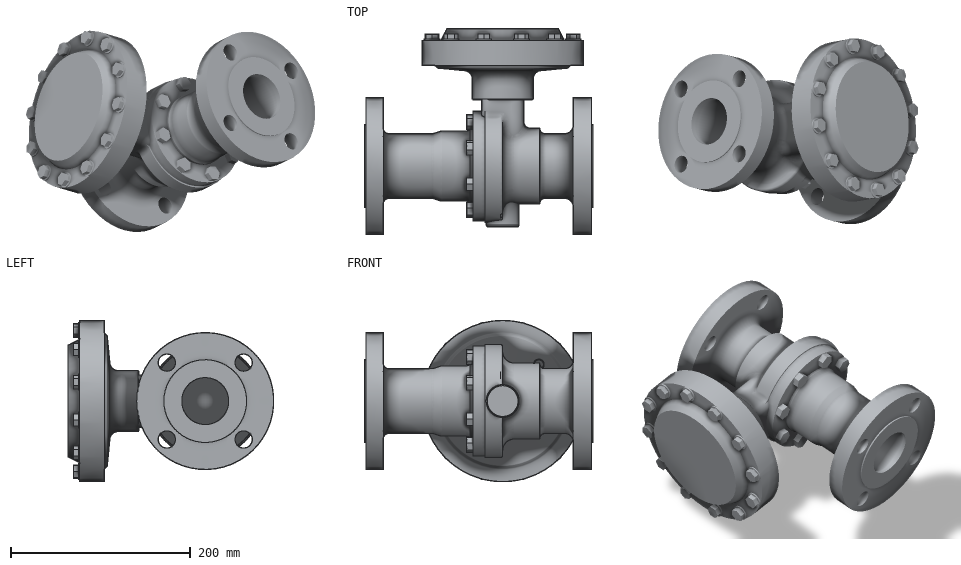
import cadquery as cq
import math


LEFT_END = -153.6
FACE_TO_FACE = 254.0
RIGHT_END = LEFT_END + FACE_TO_FACE
PIPE_RADIUS = 36.1
BORE_RADIUS = 26.1
SEAT_OFFSET = 30.0

FLANGE_RADIUS = 76.2
LEFT_FLANGE_THICKNESS = 19.4
RIGHT_FLANGE_THICKNESS = 20.4
RAISED_FACE_RADIUS = 46.0
RAISED_FACE_HEIGHT = 1.6
FLANGE_HOLE_COUNT = 4
FLANGE_HOLE_CIRCLE_RADIUS = 60.3
FLANGE_HOLE_RADIUS = 9.5
LEFT_FLANGE_FILLET = 6.0
RIGHT_FLANGE_FILLET = 9.4

CAP_NECK_RADIUS = 39.1
TAPER_START = -77.6
TAPER_END = -68.0
TAPER_FILLET = 4.0
CAP_FLARE_LENGTH = 4.3
CAP_HUB_RADIUS = 40.6
CAP_HUB_START = -36.4
CAP_FLANGE_START = -33.1
CAP_FLANGE_RADIUS = 61.1

BODY_START = -19.4
BODY_FLANGE_END = 0.0
BODY_FLANGE_RADIUS = 62.8
BODY_FLANGE_EDGE_FILLET = 2.2
BODY_RADIUS = 42.3
BODY_FILLET = 12.8
BODY_END = 41.5
BODY_END_CHAMFER = 0.8

CAP_BOLT_COUNT = 8
CAP_BOLT_CIRCLE_RADIUS = 52.8
CAP_BOLT_HEX_RADIUS = 8.3
CAP_BOLT_HEAD_HEIGHT = 7.0

TRUNNION_RADIUS = 18.3
TRUNNION_END = -67.7
TRUNNION_CHAMFER_RADIAL = 1.2
TRUNNION_CHAMFER_AXIAL = 2.0

POST_HALF_WIDTH = 23.5
POST_HALF_HEIGHT = 29.2
POST_LEFT_CORNER_RADIUS = 7.8
POST_RIGHT_CORNER_RADIUS = 13.0
POST_FILLET = 6.9

COLLAR_START = 73.6
COLLAR_RADIUS = 34.0
COLLAR_CHAMFER = 1.2
COLLAR_FILLET = 9.0
COLLAR_FILLET_START = 97.0
DISH_RIM_Y = 108.8
DISH_RIM_RADIUS = 72.4
DISH_RIM_FILLET = 1.2
DISH_FOOT_RADIUS = 75.6
DISH_FOOT_FILLET = 2.0
DISC_RADIUS = 89.66
DISC_START = 112.0
DISC_END = 139.6
COVER_BASE_RADIUS = 68.6
COVER_TOP_RADIUS = 62.0
COVER_TOP = 152.74

COVER_BOLT_COUNT = 12
COVER_BOLT_CIRCLE_RADIUS = 81.2
COVER_BOLT_HEX_RADIUS = 7.65
COVER_BOLT_HEAD_TOP = 146.6
WASHER_RADIUS = 8.8
WASHER_THICKNESS = 1.5

VENT_X = 40.2
VENT_Z = 40.6
VENT_RADIUS = 5.2
VENT_BOTTOM = 119.0
VENT_CHAMFER = 0.8

LEFT_FLANGE_BACK = LEFT_END + RAISED_FACE_HEIGHT + LEFT_FLANGE_THICKNESS
RIGHT_FLANGE_BACK = RIGHT_END - RAISED_FACE_HEIGHT - RIGHT_FLANGE_THICKNESS
TOLERANCE = 0.05
DIAGONAL = math.sqrt(0.5)


def fillet_mid(center_x, center_r, toward_x, radius):
    """Middle of a quarter arc that curves toward the pipe axis, on the side toward_x (+1 or -1)."""
    return (center_x + toward_x * radius * DIAGONAL, center_r - radius * DIAGONAL)


def spin_about_x(profile):
    return profile.close().revolve(360, (0, 0), (1, 0))


def circle_of(radius):
    """A test that picks the circular edges of one radius."""
    return lambda edge: edge.geomType() == "CIRCLE" and abs(edge.radius() - radius) < TOLERANCE


def left_end_and_cap():
    fillet_x = LEFT_FLANGE_BACK + LEFT_FLANGE_FILLET
    fillet_r = PIPE_RADIUS + LEFT_FLANGE_FILLET
    flare_x = CAP_HUB_START - CAP_FLARE_LENGTH
    face = LEFT_END + RAISED_FACE_HEIGHT
    profile = (
        cq.Workplane("XY")
        .moveTo(LEFT_END, 0)
        .lineTo(LEFT_END, RAISED_FACE_RADIUS)
        .lineTo(face, RAISED_FACE_RADIUS)
        .lineTo(face, FLANGE_RADIUS)
        .lineTo(LEFT_FLANGE_BACK, FLANGE_RADIUS)
        .lineTo(LEFT_FLANGE_BACK, fillet_r)
        .threePointArc(fillet_mid(fillet_x, fillet_r, -1, LEFT_FLANGE_FILLET), (fillet_x, PIPE_RADIUS))
        .lineTo(TAPER_START, PIPE_RADIUS)
        .lineTo(TAPER_END, CAP_NECK_RADIUS)
        .lineTo(flare_x, CAP_NECK_RADIUS)
        .tangentArcPoint((CAP_HUB_START, CAP_HUB_RADIUS), relative=False)
        .lineTo(CAP_FLANGE_START, CAP_HUB_RADIUS)
        .lineTo(CAP_FLANGE_START, CAP_FLANGE_RADIUS)
        .lineTo(BODY_START, CAP_FLANGE_RADIUS)
        .lineTo(BODY_START, 0)
    )
    taper_rim = cq.selectors.BoxSelector(
        (TAPER_START - TOLERANCE, -FLANGE_RADIUS, -FLANGE_RADIUS),
        (TAPER_END + TOLERANCE, FLANGE_RADIUS, FLANGE_RADIUS),
    )
    return spin_about_x(profile).edges("%CIRCLE").edges(taper_rim).fillet(TAPER_FILLET)


def body_and_right_end():
    root_x = BODY_FLANGE_END + BODY_FILLET
    root_r = BODY_RADIUS + BODY_FILLET
    shoulder_r = BODY_RADIUS - BODY_END_CHAMFER
    shoulder = shoulder_r - PIPE_RADIUS
    shoulder_x = BODY_END + shoulder
    fillet_x = RIGHT_FLANGE_BACK - RIGHT_FLANGE_FILLET
    fillet_r = PIPE_RADIUS + RIGHT_FLANGE_FILLET
    face = RIGHT_END - RAISED_FACE_HEIGHT
    profile = (
        cq.Workplane("XY")
        .moveTo(BODY_START, 0)
        .lineTo(BODY_START, BODY_FLANGE_RADIUS)
        .lineTo(BODY_FLANGE_END, BODY_FLANGE_RADIUS)
        .lineTo(BODY_FLANGE_END, root_r)
        .threePointArc(fillet_mid(root_x, root_r, -1, BODY_FILLET), (root_x, BODY_RADIUS))
        .lineTo(BODY_END - BODY_END_CHAMFER, BODY_RADIUS)
        .lineTo(BODY_END, shoulder_r)
        .threePointArc(fillet_mid(shoulder_x, shoulder_r, -1, shoulder), (shoulder_x, PIPE_RADIUS))
        .lineTo(fillet_x, PIPE_RADIUS)
        .threePointArc(fillet_mid(fillet_x, fillet_r, 1, RIGHT_FLANGE_FILLET), (RIGHT_FLANGE_BACK, fillet_r))
        .lineTo(RIGHT_FLANGE_BACK, FLANGE_RADIUS)
        .lineTo(face, FLANGE_RADIUS)
        .lineTo(face, RAISED_FACE_RADIUS)
        .lineTo(RIGHT_END, RAISED_FACE_RADIUS)
        .lineTo(RIGHT_END, 0)
    )
    return spin_about_x(profile)


def stem_post():
    post = (
        cq.Workplane("XZ")
        .rect(2 * POST_HALF_WIDTH, 2 * POST_HALF_HEIGHT)
        .extrude(-(COLLAR_START + COLLAR_CHAMFER))
    )
    post = post.edges("|Y and <X").fillet(POST_LEFT_CORNER_RADIUS)
    return post.edges("|Y and >X").fillet(POST_RIGHT_CORNER_RADIUS)


def body_with_post():
    """Body and stem post joined by a fillet, with the rest of the body flange rim rounded off."""
    def on_post_joint(edge):
        box = edge.BoundingBox()
        beside_post = max(-box.zmin, box.zmax) < POST_HALF_HEIGHT + TOLERANCE
        past_cap = box.xmax > BODY_START + TOLERANCE
        below_collar = 0 < box.ymin and box.ymax < BODY_FLANGE_RADIUS
        return beside_post and past_cap and below_collar and box.xmax < POST_HALF_WIDTH + TOLERANCE

    def on_flange_rim(edge):
        return circle_of(BODY_FLANGE_RADIUS)(edge) and edge.Center().x > BODY_START + TOLERANCE

    right_of_cap = (
        cq.Workplane("YZ")
        .workplane(offset=BODY_START)
        .circle(2 * FLANGE_RADIUS)
        .extrude(2 * POST_HALF_WIDTH)
    )
    post = stem_post()
    body = body_and_right_end().edges().filter(on_flange_rim).fillet(BODY_FLANGE_EDGE_FILLET)
    body = body.union(post.intersect(right_of_cap)).edges().filter(on_post_joint).fillet(POST_FILLET)
    return body.union(post)


def trunnion():
    chamfer_start = TRUNNION_END + TRUNNION_CHAMFER_AXIAL
    return (
        cq.Workplane("XY")
        .moveTo(0, 0)
        .lineTo(TRUNNION_RADIUS, 0)
        .lineTo(TRUNNION_RADIUS, chamfer_start)
        .lineTo(TRUNNION_RADIUS - TRUNNION_CHAMFER_RADIAL, TRUNNION_END)
        .lineTo(0, TRUNNION_END)
        .close()
        .revolve(360, (0, 0), (0, 1))
    )


def actuator():
    """Collar, dished plate, disc and conical cover, as one shape of revolution about Y."""
    fillet_end_y = COLLAR_FILLET_START + COLLAR_FILLET
    fillet_end_r = COLLAR_RADIUS + COLLAR_FILLET
    fillet_mid_y = COLLAR_FILLET_START + COLLAR_FILLET * DIAGONAL
    fillet_mid_r = fillet_end_r - COLLAR_FILLET * DIAGONAL
    shape = (
        cq.Workplane("YZ")
        .moveTo(COLLAR_START, 0)
        .lineTo(COLLAR_START, COLLAR_RADIUS - COLLAR_CHAMFER)
        .lineTo(COLLAR_START + COLLAR_CHAMFER, COLLAR_RADIUS)
        .lineTo(COLLAR_FILLET_START, COLLAR_RADIUS)
        .threePointArc((fillet_mid_y, fillet_mid_r), (fillet_end_y, fillet_end_r))
        .lineTo(DISH_RIM_Y, DISH_RIM_RADIUS)
        .lineTo(DISC_START, DISH_FOOT_RADIUS)
        .lineTo(DISC_START, DISC_RADIUS)
        .lineTo(DISC_END, DISC_RADIUS)
        .lineTo(DISC_END, COVER_BASE_RADIUS)
        .lineTo(COVER_TOP, COVER_TOP_RADIUS)
        .lineTo(COVER_TOP, 0)
        .close()
        .revolve(360, (0, 0), (1, 0))
    )
    shape = shape.edges().filter(circle_of(DISH_RIM_RADIUS)).fillet(DISH_RIM_FILLET)
    return shape.edges().filter(circle_of(DISH_FOOT_RADIUS)).fillet(DISH_FOOT_FILLET)


def cap_bolts():
    """Hexagon heads on the cap flange, turned so that the first has a corner pointing to -Y."""
    step = 360 / CAP_BOLT_COUNT
    head = (
        cq.Workplane("YZ")
        .workplane(offset=CAP_FLANGE_START - CAP_BOLT_HEAD_HEIGHT)
        .polygon(6, 2 * CAP_BOLT_HEX_RADIUS)
        .extrude(CAP_BOLT_HEAD_HEIGHT)
        .rotate((0, 0, 0), (1, 0, 0), -step / 2)
        .translate((0, -CAP_BOLT_CIRCLE_RADIUS, 0))
    )
    bolts = cq.Workplane()
    for index in range(CAP_BOLT_COUNT):
        bolts = bolts.add(head.rotate((0, 0, 0), (1, 0, 0), (index + 0.5) * step))
    return bolts.combine()


def cover_bolts():
    """Washers and hexagon heads on the back of the disc; the first head has its corners along X."""
    step = 360 / COVER_BOLT_COUNT
    washer = cq.Workplane("XZ").workplane(offset=-DISC_END).circle(WASHER_RADIUS).extrude(-WASHER_THICKNESS)
    head = (
        cq.Workplane("XZ")
        .workplane(offset=-DISC_END)
        .polygon(6, 2 * COVER_BOLT_HEX_RADIUS)
        .extrude(DISC_END - COVER_BOLT_HEAD_TOP)
        .rotate((0, 0, 0), (0, 1, 0), -step / 2)
    )
    bolt = washer.union(head).translate((0, 0, COVER_BOLT_CIRCLE_RADIUS))
    bolts = cq.Workplane()
    for index in range(COVER_BOLT_COUNT):
        bolts = bolts.add(bolt.rotate((0, 0, 0), (0, 1, 0), (index + 0.5) * step))
    return bolts.combine()


def bores():
    """The flow passage from each end, stopped by the closed ball."""
    left = cq.Workplane("YZ").workplane(offset=LEFT_END).circle(BORE_RADIUS).extrude(-SEAT_OFFSET - LEFT_END)
    right = cq.Workplane("YZ").workplane(offset=SEAT_OFFSET).circle(BORE_RADIUS).extrude(RIGHT_END - SEAT_OFFSET)
    return left.union(right)


def flange_holes(start, thickness):
    return (
        cq.Workplane("YZ")
        .workplane(offset=start)
        .polarArray(FLANGE_HOLE_CIRCLE_RADIUS, 180 / FLANGE_HOLE_COUNT, 360, FLANGE_HOLE_COUNT)
        .circle(FLANGE_HOLE_RADIUS)
        .extrude(thickness)
    )


def actuator_with_vent():
    """Actuator with a blind, chamfered hole in its dish."""
    hole = (
        cq.Workplane("XZ", origin=(VENT_X, COLLAR_FILLET_START, VENT_Z))
        .circle(VENT_RADIUS)
        .extrude(COLLAR_FILLET_START - VENT_BOTTOM)
    )

    def on_vent_mouth(edge):
        center = edge.Center()
        off_axis = math.hypot(center.x - VENT_X, center.z - VENT_Z)
        return off_axis < VENT_RADIUS / 2 and center.y < DISC_START and edge.geomType() != "LINE"

    return actuator().cut(hole).edges().filter(on_vent_mouth).chamfer(VENT_CHAMFER)


valve = body_with_post()
for piece in (left_end_and_cap(), trunnion(), actuator_with_vent(), cap_bolts(), cover_bolts()):
    valve = valve.union(piece)

left_holes = flange_holes(LEFT_END + RAISED_FACE_HEIGHT, LEFT_FLANGE_THICKNESS)
right_holes = flange_holes(RIGHT_FLANGE_BACK, RIGHT_FLANGE_THICKNESS)
for void in (bores(), left_holes, right_holes):
    valve = valve.cut(void)

result = valve